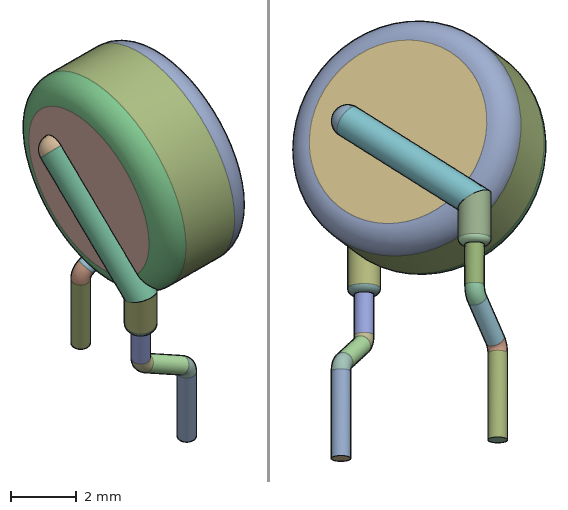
import cadquery as cq
import math

DISC_DIAMETER = 7.4
DISC_THICKNESS = 3.5
DISC_EDGE_RADIUS = 0.8

COATING_RADIUS = 0.5
COATING_FOOT_RADIUS = 0.2
COATING_X = 2.5
COATING_Y = DISC_THICKNESS / 2
COATING_TIP_X = -1.64
COATING_TIP_Z = 0.53
COATING_ELBOW_Z = -2.48
COATING_FOOT_Z = -3.88

PIN_DIAMETER = 0.6
PIN_PITCH = 5.12
PIN_BEND_RADIUS = 0.45
PIN_UPPER_CORNER_Z = -5.41
PIN_LOWER_CORNER_Z = -6.59
OVERALL_HEIGHT = 13.29
PIN_END_Z = DISC_DIAMETER / 2 - OVERALL_HEIGHT


def make_disc():
    back = (0, DISC_THICKNESS / 2, 0)
    disc = cq.Workplane("XZ", origin=back).circle(DISC_DIAMETER / 2).extrude(DISC_THICKNESS)
    return disc.faces("|Y").edges().fillet(DISC_EDGE_RADIUS)


def make_coating():
    """Upright sleeve and slanted arm meeting in a mitre, with a round tip on the arm."""
    foot = (COATING_X, -COATING_Y, COATING_FOOT_Z)
    elbow = (COATING_X, -COATING_Y, COATING_ELBOW_Z)
    tip = (COATING_TIP_X, -COATING_Y, COATING_TIP_Z)
    path = cq.Workplane("XY").polyline([foot, elbow, tip])
    coating = cq.Workplane("XY", origin=foot).circle(COATING_RADIUS).sweep(path, transition="right")
    coating = coating.faces("<Z").edges().fillet(COATING_FOOT_RADIUS)
    return coating.union(cq.Workplane("XY", origin=tip).sphere(COATING_RADIUS))


def make_pin():
    """Round wire with two equal bends that carry it from the coating to the middle plane."""
    top = cq.Vector(COATING_X, -COATING_Y, COATING_ELBOW_Z)
    upper_corner = cq.Vector(COATING_X, -COATING_Y, PIN_UPPER_CORNER_Z)
    lower_corner = cq.Vector(PIN_PITCH / 2, 0, PIN_LOWER_CORNER_Z)
    end = cq.Vector(PIN_PITCH / 2, 0, PIN_END_Z)

    down = cq.Vector(0, 0, -1)
    slant = (lower_corner - upper_corner).normalized()
    bend_angle = down.getAngle(slant)
    tangent_length = PIN_BEND_RADIUS * math.tan(bend_angle / 2)

    upper_bend_start = upper_corner - down * tangent_length
    upper_bend_end = upper_corner + slant * tangent_length
    lower_bend_start = lower_corner - slant * tangent_length
    lower_bend_end = lower_corner + down * tangent_length
    path = cq.Wire.assembleEdges([
        cq.Edge.makeLine(top, upper_bend_start),
        cq.Edge.makeTangentArc(upper_bend_start, down, upper_bend_end),
        cq.Edge.makeLine(upper_bend_end, lower_bend_start),
        cq.Edge.makeTangentArc(lower_bend_start, slant, lower_bend_end),
        cq.Edge.makeLine(lower_bend_end, end),
    ])
    return cq.Workplane("XY", origin=top.toTuple()).circle(PIN_DIAMETER / 2).sweep(path)


def make_lead():
    return make_coating().union(make_pin())


result = make_disc()
for turn in (0, 180):
    result = result.union(make_lead().rotate((0, 0, 0), (0, 0, 1), turn))